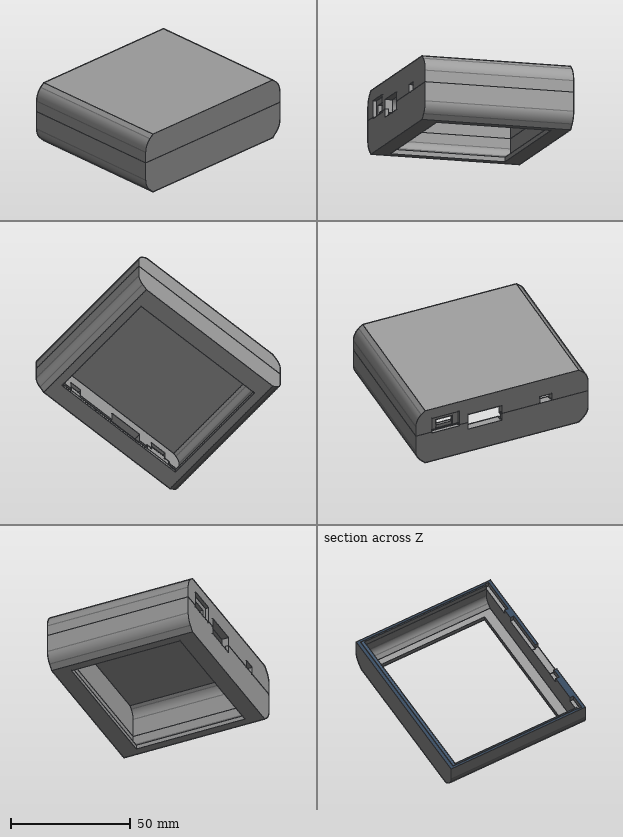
import cadquery as cq
import math

LENGTH_X = 65.35
WIDTH_Y = 78.75
HEIGHT = 27.3
PARTING_Z = 15.3

ROUND_HEIGHT = 7.1
BEVEL_INSET = 4.25
TOP_ARC_INSET = 2.45
TOP_BEVEL_HEIGHT = 1.5
BOTTOM_ARC_INSET = 2.1
BOTTOM_BEVEL_HEIGHT = 2.05

END_WALL = 3.15
SIDE_WALL = 2.0
END_SKIN = 1.5
SIDE_SKIN = SIDE_WALL / 2
LIP_DEPTH = 3.8
PORT_LIP_DEPTH = 1.4
CLEARANCE = 0.3

CHARGE_Y = 25.75
CHARGE_WIDTH = 7.6
CHARGE_TOP = 19.9
RECESS_WIDTH = 12.6
RECESS_BOTTOM = 14.7
RECESS_TOP = 22.4
RECESS_DEPTH = END_SKIN
TAB_TOP = 16.85
TAB_INSET = 0.4

USB_Y = 7.8
USB_WIDTH = 15.35
USB_BOTTOM = 11.7
USB_TOP = 19.4

SWITCH_Y = -20.1
SWITCH_WIDTH = 5.5
SWITCH_TOP = 18.75

WINDOW_X = 50.4
WINDOW_Y = 63.0

END_X = -LENGTH_X / 2
LIP_Z = PARTING_Z - LIP_DEPTH
PORT_LIP_Z = PARTING_Z - PORT_LIP_DEPTH

LIP_GAPS = [
    (CHARGE_Y, RECESS_WIDTH),
    (USB_Y, USB_WIDTH),
    (SWITCH_Y, SWITCH_WIDTH),
]


def arc_middle(inset, drop):
    """Midpoint, as inset and drop, of an arc that starts tangent to the side wall."""
    radius = (inset**2 + drop**2) / (2 * inset)
    half_angle = math.asin(drop / radius) / 2
    return radius * (1 - math.cos(half_angle)), radius * math.sin(half_angle)


def corner_points(arc_inset, bevel_height):
    """Arc middle and arc end as (inset from the side wall, distance from the flat)."""
    middle_inset, middle_drop = arc_middle(arc_inset, ROUND_HEIGHT - bevel_height)
    return (middle_inset, ROUND_HEIGHT - middle_drop), (arc_inset, bevel_height)


def case_block(side_inset=0.0, end_inset=0.0):
    """Solid shape of the closed case, moved inward by the given insets."""
    side = WIDTH_Y / 2
    flat = side - BEVEL_INSET
    low_middle, low_end = corner_points(BOTTOM_ARC_INSET, BOTTOM_BEVEL_HEIGHT)
    high_middle, high_end = corner_points(TOP_ARC_INSET, TOP_BEVEL_HEIGHT)

    def low(point, hand):
        return (hand * (side - point[0]), point[1])

    def high(point, hand):
        return (hand * (side - point[0]), HEIGHT - point[1])

    outline = (
        cq.Workplane("YZ", origin=(END_X + end_inset, 0, 0))
        .moveTo(-flat, 0)
        .lineTo(flat, 0)
        .lineTo(*low(low_end, 1))
        .threePointArc(low(low_middle, 1), (side, ROUND_HEIGHT))
        .lineTo(side, HEIGHT - ROUND_HEIGHT)
        .threePointArc(high(high_middle, 1), high(high_end, 1))
        .lineTo(flat, HEIGHT)
        .lineTo(-flat, HEIGHT)
        .lineTo(*high(high_end, -1))
        .threePointArc(high(high_middle, -1), (-side, HEIGHT - ROUND_HEIGHT))
        .lineTo(-side, ROUND_HEIGHT)
        .threePointArc(low(low_middle, -1), low(low_end, -1))
        .close()
    )
    if side_inset > 0:
        outline = outline.offset2D(-side_inset)
    return outline.extrude(LENGTH_X - 2 * end_inset)


def slab(bottom, top):
    """Block wider than the case between two heights."""
    return cq.Workplane("XY", origin=(0, 0, bottom)).rect(2 * LENGTH_X, 2 * WIDTH_Y).extrude(top - bottom)


def wall_block(center_y, width, bottom, top, depth, start=0.0):
    """Block in the -X end wall, from start to start + depth behind its outer face."""
    block = cq.Workplane("XY").box(depth, width, top - bottom, centered=(False, True, False))
    return block.translate((END_X + start, center_y, bottom))


outer = case_block()
skin_inside = case_block(SIDE_SKIN, END_SKIN)
cavity = case_block(SIDE_WALL, END_WALL)

charge_recess = wall_block(CHARGE_Y, RECESS_WIDTH, RECESS_BOTTOM, RECESS_TOP, RECESS_DEPTH)
usb_opening = wall_block(USB_Y, USB_WIDTH, USB_BOTTOM, USB_TOP, END_WALL)


def make_lid():
    """Upper shell with a lip that hangs into the base and stops at each opening."""
    lid = outer.intersect(slab(PARTING_Z, HEIGHT))
    lid = lid.union(skin_inside.intersect(slab(LIP_Z, PARTING_Z))).cut(cavity)
    lid = lid.cut(wall_block(0, WIDTH_Y, LIP_Z, PORT_LIP_Z, END_WALL))
    for center_y, width in LIP_GAPS:
        lid = lid.cut(wall_block(center_y, width, LIP_Z, PARTING_Z, END_WALL))
    lid = lid.cut(charge_recess)
    lid = lid.cut(wall_block(CHARGE_Y, CHARGE_WIDTH, PARTING_Z, CHARGE_TOP, END_WALL))
    lid = lid.cut(usb_opening)
    return lid.cut(wall_block(SWITCH_Y, SWITCH_WIDTH, PARTING_Z, SWITCH_TOP, END_WALL))


def make_base():
    """Lower shell with a stepped rim, filler pads, charge port tab and floor window."""
    base = outer.intersect(slab(0, PARTING_Z)).cut(cavity)
    base = base.cut(skin_inside.intersect(slab(LIP_Z, PARTING_Z)))
    for center_y, width in LIP_GAPS:
        pad_width = width - 2 * CLEARANCE
        pad_depth = END_WALL - END_SKIN
        base = base.union(wall_block(center_y, pad_width, LIP_Z, PARTING_Z, pad_depth, END_SKIN))
    tab_start = RECESS_DEPTH + TAB_INSET
    tab_width = CHARGE_WIDTH - 2 * CLEARANCE
    tab_depth = END_WALL - tab_start
    base = base.union(wall_block(CHARGE_Y, tab_width, LIP_Z, TAB_TOP, tab_depth, tab_start))
    base = base.cut(charge_recess).cut(usb_opening)
    return base.cut(cq.Workplane("XY").box(WINDOW_X, WINDOW_Y, 2 * SIDE_WALL))


lid = make_lid()
base = make_base()

result = cq.Compound.makeCompound([lid.solids().val(), base.solids().val()])